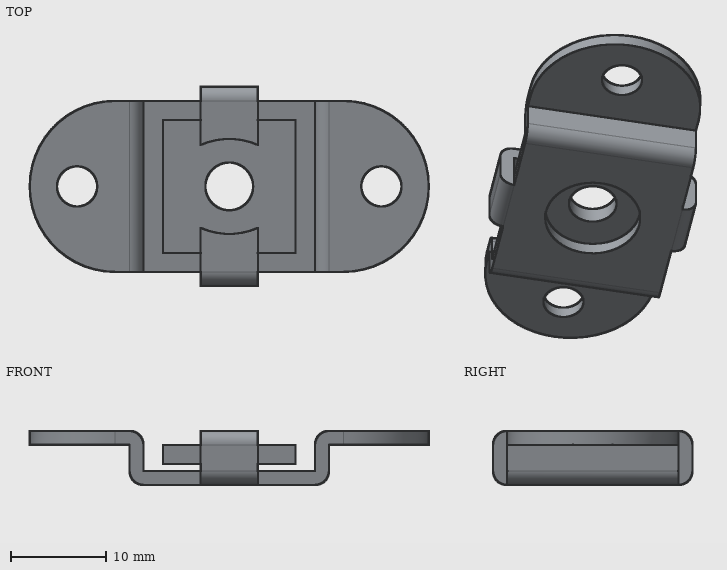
import cadquery as cq

length = 42.0
strap_width = 18.0
clip_span = 21.0
height = 5.7
sheet = (clip_span - strap_width) / 2
bend_radius = sheet
channel_width = strap_width
ear_hole_diameter = 4.2
ear_hole_spacing = 32.0
floor_hole_diameter = 10.0

clip_width = 6.0
clip_tip_middle = 5.0
clip_tip_corner = 4.35

plate_side = 14.0
plate_thickness = 2.0
plate_hole_diameter = 5.0

end_radius = strap_width / 2
channel_inner = channel_width / 2
channel_outer = channel_inner + sheet
clip_underside = height - sheet


def make_strap():
    """Hat-shaped strip with semicircular ends, open above the channel."""
    profile = (
        cq.Workplane("XZ")
        .moveTo(-length / 2, height)
        .lineTo(-channel_inner, height)
        .lineTo(-channel_inner, sheet)
        .lineTo(channel_inner, sheet)
        .lineTo(channel_inner, height)
        .lineTo(length / 2, height)
        .lineTo(length / 2, clip_underside)
        .lineTo(channel_outer, clip_underside)
        .lineTo(channel_outer, 0)
        .lineTo(-channel_outer, 0)
        .lineTo(-channel_outer, clip_underside)
        .lineTo(-length / 2, clip_underside)
        .close()
        .extrude(end_radius, both=True)
    )
    for x in (-channel_outer, channel_outer):
        profile = profile.edges(cq.NearestToPointSelector((x, 0, 0))).fillet(bend_radius)
    for x in (-channel_inner, channel_inner):
        profile = profile.edges(cq.NearestToPointSelector((x, 0, height))).fillet(bend_radius)
    outline = cq.Workplane("XY").slot2D(length, strap_width).extrude(height)
    return profile.intersect(outline)


def make_clip():
    """Clip on the +Y edge, with a concave arc cut into its tip."""
    edge = end_radius
    hook = (
        cq.Workplane("YZ")
        .moveTo(0, height)
        .lineTo(clip_span / 2, height)
        .lineTo(clip_span / 2, 0)
        .lineTo(0, 0)
        .lineTo(0, sheet)
        .lineTo(edge, sheet)
        .lineTo(edge, clip_underside)
        .lineTo(0, clip_underside)
        .close()
        .extrude(clip_width / 2, both=True)
        .edges("|X and >Y")
        .fillet(bend_radius)
    )
    tip_cutter = (
        cq.Workplane("XY", origin=(0, 0, clip_underside))
        .moveTo(-clip_width / 2, 0)
        .lineTo(-clip_width / 2, clip_tip_corner)
        .threePointArc((0, clip_tip_middle), (clip_width / 2, clip_tip_corner))
        .lineTo(clip_width / 2, 0)
        .close()
        .extrude(sheet)
    )
    return hook.cut(tip_cutter)


def make_bracket():
    """Strap with both clips, two ear holes and the hole in the floor."""
    clip = make_clip()
    ear_holes = (
        cq.Workplane("XY")
        .rarray(ear_hole_spacing, 0.4, 2, 1)
        .circle(ear_hole_diameter / 2)
        .extrude(height)
    )
    floor_hole = cq.Workplane("XY").circle(floor_hole_diameter / 2).extrude(sheet)
    bracket = make_strap().union(clip).union(clip.mirror("XZ")).cut(ear_holes).cut(floor_hole)
    return bracket.solids()


def make_plate():
    """Square plate with a central hole, resting against the clip undersides."""
    return (
        cq.Workplane("XY", origin=(0, 0, clip_underside - plate_thickness))
        .rect(plate_side, plate_side)
        .circle(plate_hole_diameter / 2)
        .extrude(plate_thickness)
    )


bracket = make_bracket()
plate = make_plate()
result = cq.Compound.makeCompound([bracket.val(), plate.val()])